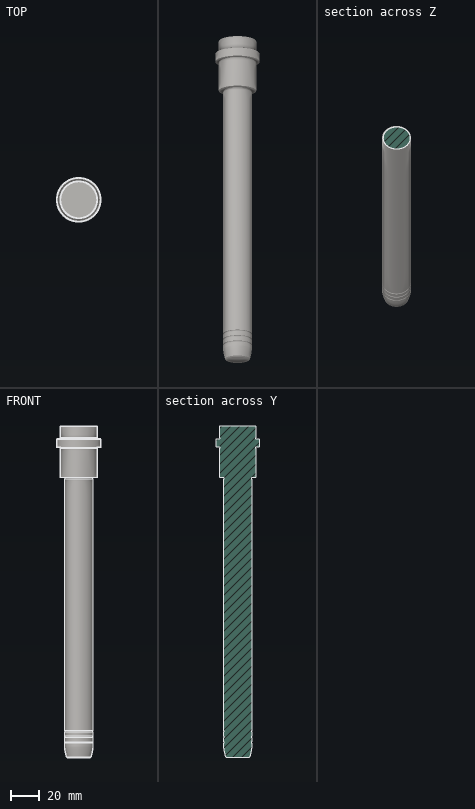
import cadquery as cq

total_length = 231.0

head_diameter = 26.0
head_length = 36.0
flange_diameter = 31.0
flange_thickness = 6.0
flange_top_depth = 9.0
flange_chamfer = 0.5
head_chamfer = 0.5
neck_groove_width = 0.7
neck_groove_depth = 0.5

shank_diameter = 20.0
relief_length = 1.2
relief_depth = 0.5

groove_count = 3
groove_pitch = 4.0
groove_radius = 0.5
lowest_groove_height = 10.6

tip_length = 7.6
tip_end_diameter = 16.9
tip_bulge = 0.2
tip_chamfer = 0.7

head_bottom = total_length - head_length
flange_bottom = total_length - flange_top_depth - flange_thickness


def cylinder(diameter, bottom, height):
    """Solid cylinder on the Z axis starting at the given height."""
    return cq.Workplane("XY").workplane(offset=bottom).circle(diameter / 2).extrude(height)


def ring(outer_diameter, inner_diameter, bottom, height):
    """Ring on the Z axis, used to cut grooves."""
    return cylinder(outer_diameter, bottom, height).cut(cylinder(inner_diameter, bottom, height))


def make_tip():
    """Rounded lead-in at the lower end of the shank."""
    shank_radius = shank_diameter / 2
    end_radius = tip_end_diameter / 2
    arc_middle = ((shank_radius + end_radius) / 2 + tip_bulge, tip_length / 2)
    return (
        cq.Workplane("XZ")
        .lineTo(end_radius, 0)
        .threePointArc(arc_middle, (shank_radius, tip_length))
        .lineTo(0, tip_length)
        .close()
        .revolve(360, (0, 0, 0), (0, 1, 0))
        .faces("<Z")
        .chamfer(tip_chamfer)
    )


def make_shank():
    """Shank with its shoulder relief and lubrication grooves."""
    shank = cylinder(shank_diameter, tip_length, head_bottom - tip_length)
    relief_diameter = shank_diameter - 2 * relief_depth
    shank = shank.cut(ring(shank_diameter, relief_diameter, head_bottom - relief_length, relief_length))
    for index in range(groove_count):
        groove_height = lowest_groove_height + index * groove_pitch
        groove = cq.Solid.makeTorus(shank_diameter / 2, groove_radius, cq.Vector(0, 0, groove_height))
        shank = shank.cut(cq.Workplane(groove))
    return shank


def make_head():
    """Head cylinder with its chamfered flange and neck grooves just above and below it."""
    head = cylinder(head_diameter, head_bottom, head_length).faces(">Z").chamfer(head_chamfer)
    flange = cylinder(flange_diameter, flange_bottom, flange_thickness).faces(">Z").chamfer(flange_chamfer)
    neck_diameter = head_diameter - 2 * neck_groove_depth
    flange_top = flange_bottom + flange_thickness
    for groove_bottom in (flange_top, flange_bottom - neck_groove_width):
        head = head.cut(ring(head_diameter, neck_diameter, groove_bottom, neck_groove_width))
    return head.union(flange)


result = make_tip().union(make_shank()).union(make_head())